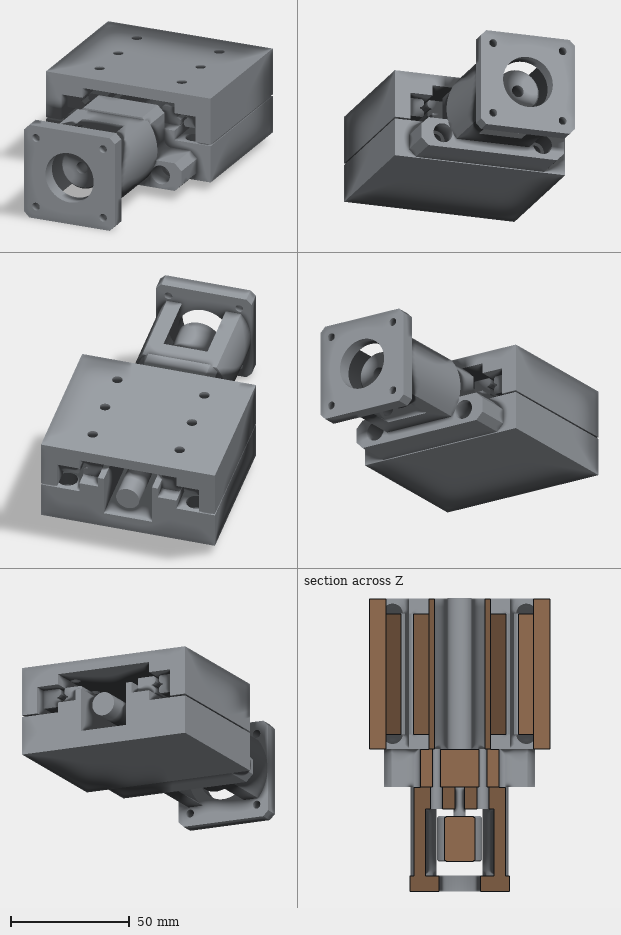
import cadquery as cq
import math


slide_width = 76.2
slide_length = 63.3
table_top = 20.5
table_bottom = -0.2
base_top = -1.0
base_bottom = -17.5

rail_width = 8.2
rail_bottom = 3.3
rail_height = 7.9
rail_setback = 6.2
rail_chamfer = 0.7
rail_back_chamfer = 0.4
vee_depth = 1.1
relief_half_width = 0.4
relief_depth = 1.7
outer_rail_side = 31.0
inner_rail_side = 13.1
rail_top = rail_bottom + rail_height
rail_middle = rail_bottom + rail_height / 2
rail_length = slide_length - 2 * rail_setback
pedestal_side = inner_rail_side + rail_width

table_ceiling = 15.7
table_hole_radius = 2.2
table_hole_pitch = 19.0

channel_side = 10.5
channel_floor = -10.5
channel_wall_top = 8.0
base_hole_x = 28.2
base_hole_inset = 6.4
base_hole_radius = 4.3
base_hole_depth = 6.2

housing_length = 16.0
housing_top = 13.7
housing_side = 16.7
housing_bottom = -17.1
housing_chamfer = 3.1
foot_side = 31.8
foot_top = -4.6
foot_fillet = 3.1

foot_hole_x = 22.3
foot_hole_z = (foot_top + housing_bottom) / 2
foot_hole_radius = 2.7
foot_counterbore_radius = 4.2
foot_counterbore_depth = 9.9
tapped_hole_radius = 2.0
tapped_hole_depth = 9.9
drill_tip_angle = 118

flange_size = 41.9
flange_thickness = 6.5
flange_chamfer = 2.4
flange_front = -60.0
motor_hole_pitch = 31.0
motor_hole_radius = 1.7
pilot_radius = 11.1
mount_radius = 20.7
mount_flat = 12.7
mount_cavity_radius = 16.0
mount_wall = 9.3
mount_bore_radius = 7.2
mount_screw_x = 9.8
mount_screw_z = 7.3
mount_screw_radius = 2.5
housing_screw_radius = 1.6
flange_back = flange_front + flange_thickness
mount_back = -housing_length
cavity_back = mount_back - mount_wall

screw_radius = 5.1
screw_overhang = 0.4
shaft_radius = 2.6
coupling_radius = 9.5
coupling_length = 19.0
coupling_chamfer = 0.6
coupling_back = -28.3


def block(half_width, y_start, y_end, z_bottom, z_top):
    """Box centred on X = 0."""
    return cq.Workplane("XY").box(
        2 * half_width, y_end - y_start, z_top - z_bottom, centered=(True, False, False)
    ).translate((0, y_start, z_bottom))


def rod(x, z, radius, y_start, y_end):
    """Cylinder along Y."""
    axis_start = cq.Vector(x, y_start, z)
    return cq.Workplane(cq.Solid.makeCylinder(radius, y_end - y_start, axis_start, cq.Vector(0, 1, 0)))


def extrude_profile(outline, y_start, y_end):
    """Extrude a closed XZ outline from y_start to y_end."""
    return outline.extrude(y_start - y_end).translate((0, y_start, 0))


def four_corners(x, z):
    """Points at plus and minus x and z."""
    return [(side * x, level * z) for side in (-1, 1) for level in (-1, 1)]


def make_table():
    table = block(slide_width / 2, 0, slide_length, table_bottom, table_top)
    table = table.cut(block(outer_rail_side, 0, slide_length, table_bottom, rail_top))
    table = table.cut(block(pedestal_side, 0, slide_length, rail_top, table_ceiling))
    holes = (
        cq.Workplane("XY", origin=(0, slide_length / 2, rail_top))
        .rarray(2 * table_hole_pitch, table_hole_pitch, 2, 3)
        .circle(table_hole_radius)
        .extrude(table_top - rail_top)
    )
    return table.cut(holes)


def tapped_hole(x):
    """Blind hole into the front of the base, with a conical drill tip."""
    tip_length = tapped_hole_radius / math.tan(math.radians(drill_tip_angle / 2))
    tip = cq.Solid.makeCone(
        tapped_hole_radius, 0, tip_length, cq.Vector(x, tapped_hole_depth, foot_hole_z), cq.Vector(0, 1, 0)
    )
    return rod(x, foot_hole_z, tapped_hole_radius, 0, tapped_hole_depth).union(cq.Workplane(tip))


def make_base():
    base = block(slide_width / 2, 0, slide_length, base_bottom, base_top)
    base = base.union(block(pedestal_side, 0, slide_length, base_top, rail_bottom))
    base = base.union(block(inner_rail_side, 0, slide_length, rail_bottom, channel_wall_top))
    base = base.cut(block(channel_side, 0, slide_length, channel_floor, channel_wall_top))
    mounting_holes = (
        cq.Workplane("XY", origin=(0, slide_length / 2, base_top))
        .rarray(2 * base_hole_x, slide_length - 2 * base_hole_inset, 2, 2)
        .circle(base_hole_radius)
        .extrude(-base_hole_depth)
    )
    base = base.cut(mounting_holes)
    for side in (-1, 1):
        base = base.cut(tapped_hole(side * foot_hole_x))
    return base


def make_rail(back_x, direction):
    """Rail whose flat back is at back_x and whose vee groove faces along X in the given direction."""
    half = rail_height / 2
    vee_bottom = rail_width - vee_depth
    vee_half_width = vee_depth + relief_half_width
    upper_half = [
        (0, half - rail_back_chamfer),
        (rail_back_chamfer, half),
        (rail_width - rail_chamfer, half),
        (rail_width, half - rail_chamfer),
        (rail_width, vee_half_width),
        (vee_bottom, relief_half_width),
        (rail_width - relief_depth, relief_half_width),
    ]
    outline = upper_half + [(x, -z) for x, z in reversed(upper_half)]
    points = [(back_x + direction * x, rail_middle + z) for x, z in outline]
    sketch = cq.Workplane("XZ").polyline(points).close()
    return extrude_profile(sketch, rail_setback, rail_setback + rail_length)


def make_housing():
    fillet_x = housing_side + foot_fillet
    fillet_z = foot_top + foot_fillet
    diagonal = foot_fillet * math.sqrt(0.5)
    sketch = (
        cq.Workplane("XZ")
        .moveTo(0, housing_bottom)
        .lineTo(foot_side - housing_chamfer, housing_bottom)
        .lineTo(foot_side, housing_bottom + housing_chamfer)
        .lineTo(foot_side, foot_top - housing_chamfer)
        .lineTo(foot_side - housing_chamfer, foot_top)
        .lineTo(fillet_x, foot_top)
        .threePointArc((fillet_x - diagonal, fillet_z - diagonal), (housing_side, fillet_z))
        .lineTo(housing_side, housing_top - housing_chamfer)
        .lineTo(housing_side - housing_chamfer, housing_top)
        .lineTo(0, housing_top)
        .mirrorY()
    )
    housing = extrude_profile(sketch, -housing_length, 0)
    housing = housing.cut(rod(0, 0, shaft_radius, -housing_length, 0))
    counterbore_end = foot_counterbore_depth - housing_length
    for side in (-1, 1):
        x = side * foot_hole_x
        housing = housing.cut(rod(x, foot_hole_z, foot_hole_radius, -housing_length, 0))
        housing = housing.cut(rod(x, foot_hole_z, foot_counterbore_radius, -housing_length, counterbore_end))
    for x, z in four_corners(mount_screw_x, mount_screw_z):
        housing = housing.cut(rod(x, z, housing_screw_radius, -housing_length, 0))
    return housing


def make_mount():
    barrel = rod(0, 0, mount_radius, flange_back, mount_back)
    barrel = barrel.intersect(block(mount_radius, flange_back, mount_back, -mount_flat, mount_flat))
    barrel = barrel.cut(rod(0, 0, mount_cavity_radius, flange_back, cavity_back))
    barrel = barrel.cut(rod(0, 0, mount_bore_radius, cavity_back, mount_back))
    for x, z in four_corners(mount_screw_x, mount_screw_z):
        barrel = barrel.cut(rod(x, z, mount_screw_radius, cavity_back, mount_back))

    flange = block(flange_size / 2, flange_front, flange_back, -flange_size / 2, flange_size / 2)
    flange = flange.edges("|Y").chamfer(flange_chamfer)
    flange = flange.cut(rod(0, 0, pilot_radius, flange_front, flange_back))
    for x, z in four_corners(motor_hole_pitch / 2, motor_hole_pitch / 2):
        flange = flange.cut(rod(x, z, motor_hole_radius, flange_front, flange_back))
    return barrel.union(flange)


def make_screw():
    thread = rod(0, 0, screw_radius, 0, slide_length + screw_overhang)
    shaft = rod(0, 0, shaft_radius, coupling_back - coupling_length / 2, 0)
    return thread.union(shaft)


def make_coupling():
    coupling_front = coupling_back - coupling_length
    coupling = rod(0, 0, coupling_radius, coupling_front, coupling_back)
    coupling = coupling.faces("<Y or >Y").chamfer(coupling_chamfer)
    return coupling.cut(rod(0, 0, shaft_radius, coupling_front, coupling_back))


table = make_table()
base = make_base()
outer_rails = [make_rail(side * outer_rail_side, -side) for side in (-1, 1)]
inner_rails = [make_rail(side * inner_rail_side, side) for side in (-1, 1)]
housing = make_housing()
mount = make_mount()
screw = make_screw()
coupling = make_coupling()

rails = [rail.val() for rail in outer_rails + inner_rails]
result = cq.Compound.makeCompound(
    [table.val(), base.val(), *rails, housing.val(), mount.val(), screw.val(), coupling.val()]
)